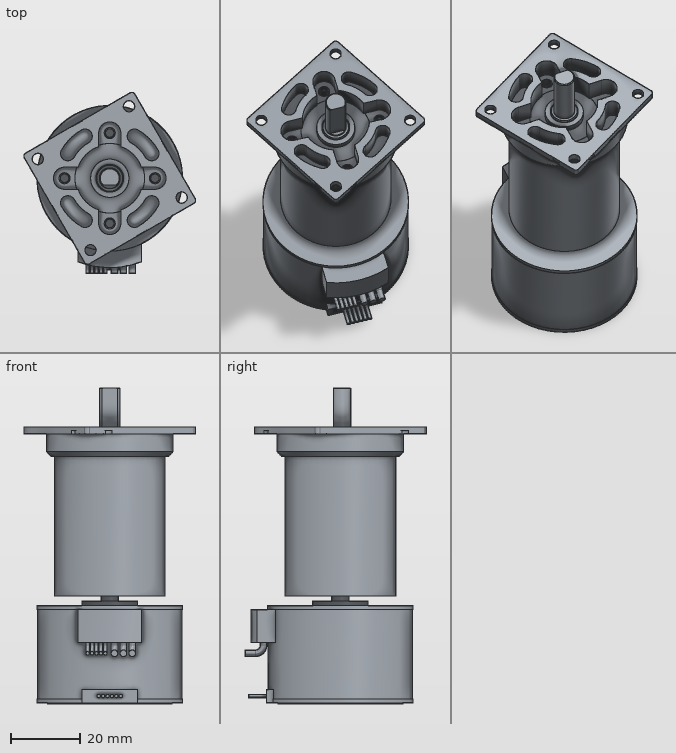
import cadquery as cq
import math

MOTOR_TOP = 28.3
MOTOR_BOSS_TOP = 29.6
GEARBOX_BOTTOM = 31.1
GEARBOX_TOP = 71.3
HUB_CHAMFER_TOP = 72.7
PLATE_BOTTOM = 77.8
PLATE_TOP = 79.8
SHAFT_TOP = 91.1

PLATE_SIDE = 36.8
PLATE_ANGLE = 30.0
PLATE_CORNER_RADIUS = 1.0
HUB_DIAMETER = 36.5
HUB_CHAMFER = HUB_CHAMFER_TOP - GEARBOX_TOP
CORNER_HOLE_PITCH = 30.3
CLEARANCE_HOLE_DIAMETER = 3.2
PILOT_DIAMETER = 20.0
OPENING_DIAMETER = 19.3
FLOOR_THICKNESS = 2.0
SCREW_CIRCLE_RADIUS = 13.0
ARM_WIDTH = 6.4
SLOT_CENTRE_RADIUS = 14.0
SLOT_WIDTH = 4.2
SLOT_HALF_ANGLE = 14.5
NOTCH_DIAMETER = 2.5
NOTCH_DEPTH = 1.0
NOTCH_INSET = 0.6
NOTCH_POSITION = 10.9
POCKET_FLOOR = GEARBOX_TOP + FLOOR_THICKNESS

GEARBOX_DIAMETER = 32.0
BEARING_BOSS_DIAMETER = 11.0
BEARING_BOSS_HEIGHT = 1.8
BEARING_BOSS_TOP = POCKET_FLOOR + BEARING_BOSS_HEIGHT
COLLAR_DIAMETER = 8.0
COLLAR_HEIGHT = 0.55
COLLAR_CHAMFER = 0.3
SCREW_HOLE_DIAMETER = 2.5
SCREW_HOLE_DEPTH = 5.0
SHAFT_DIAMETER = 6.0
SHAFT_CHAMFER = 0.3
SHAFT_FLAT_OFFSET = 2.0
SHAFT_FLAT_BOTTOM = BEARING_BOSS_TOP + 1.1

MOTOR_DIAMETER = 41.7
END_CAP_DIAMETER = 42.0
END_CAP_THICKNESS = 1.2
BASE_DISC_DIAMETER = 36.0
BASE_DISC_HEIGHT = 0.3
MOTOR_BOSS_DIAMETER = 16.0
MOTOR_SHAFT_DIAMETER = 5.0
TERMINAL_WIDTH = 18.4
TERMINAL_OUTER_RADIUS = 25.8
TERMINAL_BOTTOM = 17.7
TERMINAL_TOP = MOTOR_TOP - END_CAP_THICKNESS
CONNECTOR_WIDTH = 16.0
CONNECTOR_FRONT = 21.3
CONNECTOR_TOP = 4.1

THIN_LEAD_DIAMETER = 1.0
THIN_LEAD_PITCH = 1.3
THICK_LEAD_DIAMETER = 1.9
THICK_LEAD_PITCH = 2.55
FIRST_THIN_LEAD_X = -6.4
FIRST_THICK_LEAD_X = 1.4
THIN_LEAD_COUNT = 5
THICK_LEAD_COUNT = 3
LEAD_EXIT_Y = 22.1
LEAD_END_Y = 27.4
LEAD_END_Z = 14.6
LEAD_BEND_RADIUS = 2.4
SENSOR_LEAD_COUNT = 6
SENSOR_LEAD_Z = 2.3
SENSOR_LEAD_END_Y = 26.4

QUARTER_TURNS = (0, 90, 180, 270)


def cylinder(diameter, bottom, top):
    """Cylinder on the drive axis between two levels."""
    return cq.Workplane("XY").workplane(offset=bottom).circle(diameter / 2).extrude(top - bottom)


def box(x_range, y_range, z_range):
    """Axis-aligned box given by its limits."""
    size = [high - low for low, high in (x_range, y_range, z_range)]
    corner = (x_range[0], y_range[0], z_range[0])
    return cq.Workplane("XY").box(*size, centered=False).translate(corner)


def screw_circle_holes(diameter, bottom, top):
    """Four cylinders on the screw circle that joins the flange to the gearbox."""
    return (
        cq.Workplane("XY")
        .workplane(offset=bottom)
        .polarArray(SCREW_CIRCLE_RADIUS, 0, 360, 4)
        .circle(diameter / 2)
        .extrude(top - bottom)
    )


def arc_slot():
    """Curved slot cutter around the drive axis, centred on the +X+Y diagonal."""
    middle, half_angle = math.radians(45), math.radians(SLOT_HALF_ANGLE)
    half_width = SLOT_WIDTH / 2

    def point(radius, angle):
        return (radius * math.cos(angle), radius * math.sin(angle))

    start, end = middle - half_angle, middle + half_angle
    inner, outer = SLOT_CENTRE_RADIUS - half_width, SLOT_CENTRE_RADIUS + half_width
    end_bulge = half_width / SLOT_CENTRE_RADIUS
    return (
        cq.Workplane("XY")
        .workplane(offset=POCKET_FLOOR)
        .moveTo(*point(inner, start))
        .threePointArc(point(inner, middle), point(inner, end))
        .threePointArc(point(SLOT_CENTRE_RADIUS, end + end_bulge), point(outer, end))
        .threePointArc(point(outer, middle), point(outer, start))
        .threePointArc(point(SLOT_CENTRE_RADIUS, start - end_bulge), point(inner, start))
        .close()
        .extrude(PLATE_TOP - POCKET_FLOOR)
    )


def arm_pocket():
    """Round-ended pocket cutter from the drive axis out past a screw hole on the +X side."""
    half_width = ARM_WIDTH / 2
    return (
        cq.Workplane("XY")
        .workplane(offset=POCKET_FLOOR)
        .moveTo(0, -half_width)
        .lineTo(SCREW_CIRCLE_RADIUS, -half_width)
        .threePointArc((SCREW_CIRCLE_RADIUS + half_width, 0), (SCREW_CIRCLE_RADIUS, half_width))
        .lineTo(0, half_width)
        .close()
        .extrude(PLATE_TOP - POCKET_FLOOR)
    )


def edge_notches():
    """Cutters for the notches in the underside rim, two beside each of two opposite plate corners."""
    near_edge = PLATE_SIDE / 2 - NOTCH_INSET
    centres = [
        (near_edge, NOTCH_POSITION),
        (NOTCH_POSITION, near_edge),
        (-near_edge, -NOTCH_POSITION),
        (-NOTCH_POSITION, -near_edge),
    ]
    return (
        cq.Workplane("XY")
        .workplane(offset=PLATE_BOTTOM)
        .pushPoints(centres)
        .circle(NOTCH_DIAMETER / 2)
        .extrude(NOTCH_DEPTH)
    )


def make_flange():
    """Square mounting plate, turned about the axis, on a round hub with a chamfered foot."""
    plate = (
        cq.Workplane("XY")
        .workplane(offset=PLATE_BOTTOM)
        .rect(PLATE_SIDE, PLATE_SIDE)
        .extrude(PLATE_TOP - PLATE_BOTTOM)
        .edges("|Z")
        .fillet(PLATE_CORNER_RADIUS)
        .faces(">Z")
        .workplane()
        .rect(CORNER_HOLE_PITCH, CORNER_HOLE_PITCH, forConstruction=True)
        .vertices()
        .hole(CLEARANCE_HOLE_DIAMETER)
        .cut(edge_notches())
        .rotate((0, 0, 0), (0, 0, 1), PLATE_ANGLE)
    )
    hub = (
        cq.Workplane("XZ")
        .moveTo(0, GEARBOX_TOP)
        .lineTo(HUB_DIAMETER / 2 - HUB_CHAMFER, GEARBOX_TOP)
        .lineTo(HUB_DIAMETER / 2, HUB_CHAMFER_TOP)
        .lineTo(HUB_DIAMETER / 2, PLATE_BOTTOM)
        .lineTo(0, PLATE_BOTTOM)
        .close()
        .revolve(360, (0, 0), (0, 1))
    )
    pilot_bore = cylinder(PILOT_DIAMETER, GEARBOX_TOP, POCKET_FLOOR)
    opening = cylinder(OPENING_DIAMETER, POCKET_FLOOR, PLATE_TOP)
    flange = plate.union(hub).cut(pilot_bore).cut(opening)
    for angle in QUARTER_TURNS:
        for cutter in (arm_pocket(), arc_slot()):
            flange = flange.cut(cutter.rotate((0, 0, 0), (0, 0, 1), angle))
    return flange.cut(screw_circle_holes(CLEARANCE_HOLE_DIAMETER, GEARBOX_TOP, POCKET_FLOOR))


def make_output_shaft():
    """Output shaft with a chamfered tip and a flat on its -Y side."""
    radius = SHAFT_DIAMETER / 2
    shaft = cylinder(SHAFT_DIAMETER, GEARBOX_TOP, SHAFT_TOP).faces(">Z").chamfer(SHAFT_CHAMFER)
    flat = box((-radius, radius), (-radius, -SHAFT_FLAT_OFFSET), (SHAFT_FLAT_BOTTOM, SHAFT_TOP))
    return shaft.cut(flat)


def make_gearbox():
    """Cylindrical gearbox with its pilot, bearing boss, collar, screw holes and output shaft."""
    collar = (
        cylinder(COLLAR_DIAMETER, BEARING_BOSS_TOP, BEARING_BOSS_TOP + COLLAR_HEIGHT)
        .faces(">Z")
        .chamfer(COLLAR_CHAMFER)
    )
    return (
        cylinder(GEARBOX_DIAMETER, GEARBOX_BOTTOM, GEARBOX_TOP)
        .union(cylinder(PILOT_DIAMETER, GEARBOX_TOP, POCKET_FLOOR))
        .union(cylinder(BEARING_BOSS_DIAMETER, POCKET_FLOOR, BEARING_BOSS_TOP))
        .union(collar)
        .cut(screw_circle_holes(SCREW_HOLE_DIAMETER, GEARBOX_TOP - SCREW_HOLE_DEPTH, GEARBOX_TOP))
        .union(make_output_shaft())
    )


def make_terminal_cover():
    """Cover on the -Y side of the motor, rounded about the motor axis."""
    half_width = TERMINAL_WIDTH / 2
    block = box((-half_width, half_width), (-TERMINAL_OUTER_RADIUS, 0), (TERMINAL_BOTTOM, TERMINAL_TOP))
    return block.intersect(cylinder(2 * TERMINAL_OUTER_RADIUS, TERMINAL_BOTTOM, TERMINAL_TOP))


def make_bent_lead(diameter, x):
    """Lead that leaves the terminal cover downwards and bends towards -Y."""
    bend_top = LEAD_END_Z + LEAD_BEND_RADIUS
    bend_end = LEAD_EXIT_Y + LEAD_BEND_RADIUS
    bend_offset = LEAD_BEND_RADIUS * (1 - math.sqrt(0.5))
    path = (
        cq.Workplane("YZ", origin=(x, 0, 0))
        .moveTo(-LEAD_EXIT_Y, TERMINAL_BOTTOM)
        .lineTo(-LEAD_EXIT_Y, bend_top)
        .threePointArc((-LEAD_EXIT_Y - bend_offset, LEAD_END_Z + bend_offset), (-bend_end, LEAD_END_Z))
        .lineTo(-LEAD_END_Y, LEAD_END_Z)
    )
    profile = cq.Workplane("XY", origin=(x, -LEAD_EXIT_Y, TERMINAL_BOTTOM)).circle(diameter / 2)
    return profile.sweep(path)


def make_sensor_connector():
    """Flat connector at the foot of the motor with a row of straight leads."""
    half_width = CONNECTOR_WIDTH / 2
    connector = box((-half_width, half_width), (-CONNECTOR_FRONT, 0), (BASE_DISC_HEIGHT, CONNECTOR_TOP))
    leads = (
        cq.Workplane("XZ", origin=(0, -CONNECTOR_FRONT, SENSOR_LEAD_Z))
        .rarray(THIN_LEAD_PITCH, 0.9, SENSOR_LEAD_COUNT, 1)
        .circle(THIN_LEAD_DIAMETER / 2)
        .extrude(SENSOR_LEAD_END_Y - CONNECTOR_FRONT)
    )
    return connector.union(leads)


def make_motor():
    """Motor with its end caps, base disc, boss, shaft, terminal cover, connector and leads."""
    motor = (
        cylinder(MOTOR_DIAMETER, BASE_DISC_HEIGHT, MOTOR_TOP)
        .union(cylinder(END_CAP_DIAMETER, BASE_DISC_HEIGHT, BASE_DISC_HEIGHT + END_CAP_THICKNESS))
        .union(cylinder(END_CAP_DIAMETER, TERMINAL_TOP, MOTOR_TOP))
        .union(cylinder(BASE_DISC_DIAMETER, 0, BASE_DISC_HEIGHT))
        .union(cylinder(MOTOR_BOSS_DIAMETER, MOTOR_TOP, MOTOR_BOSS_TOP))
        .union(cylinder(MOTOR_SHAFT_DIAMETER, MOTOR_BOSS_TOP, GEARBOX_BOTTOM))
        .union(make_terminal_cover())
        .union(make_sensor_connector())
    )
    for index in range(THIN_LEAD_COUNT):
        x = FIRST_THIN_LEAD_X + index * THIN_LEAD_PITCH
        motor = motor.union(make_bent_lead(THIN_LEAD_DIAMETER, x))
    for index in range(THICK_LEAD_COUNT):
        x = FIRST_THICK_LEAD_X + index * THICK_LEAD_PITCH
        motor = motor.union(make_bent_lead(THICK_LEAD_DIAMETER, x))
    return motor


flange = make_flange()
gearbox = make_gearbox()
motor = make_motor()

result = cq.Compound.makeCompound([flange.val(), gearbox.val(), motor.val()])